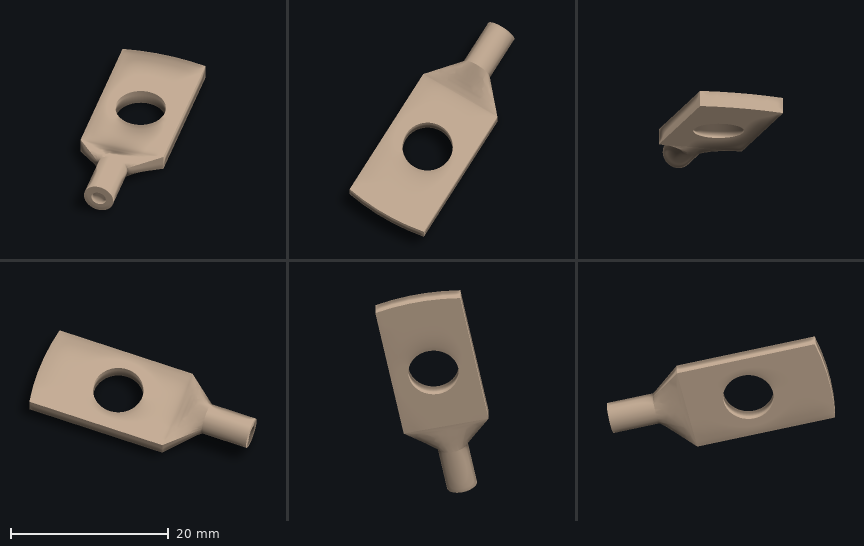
import cadquery as cq
import math

palm_width = 11.0
palm_thickness = 2.0
palm_length = 18.5
tip_radius = 30.0
stud_hole_offset = 8.0
stud_hole_diameter = 6.4

barrel_diameter = 3.9
barrel_length = 6.0
barrel_top = 4.05
bore_diameter = 1.9
bore_depth = barrel_length

neck_length = 4.0
neck_steps = 4
points_per_side = 8

half_width = palm_width / 2
barrel_radius = barrel_diameter / 2
barrel_axis_z = barrel_top - barrel_radius
palm_start_y = barrel_length + neck_length
tip_y = palm_start_y + palm_length
tip_rise = tip_radius - math.sqrt(tip_radius**2 - half_width**2)
tip_corner_y = tip_y - tip_rise
stud_hole_y = palm_start_y + stud_hole_offset

palm_perimeter = 2 * (palm_width + palm_thickness)
side_half_angle = math.pi * palm_thickness / palm_perimeter


def make_palm():
    """Flat plate with an arched tip and a stud hole."""
    plate = (
        cq.Workplane("XY")
        .moveTo(-half_width, palm_start_y)
        .lineTo(half_width, palm_start_y)
        .lineTo(half_width, tip_corner_y)
        .threePointArc((0, tip_y), (-half_width, tip_corner_y))
        .close()
        .extrude(palm_thickness)
    )
    stud_hole = (
        cq.Workplane("XY")
        .center(0, stud_hole_y)
        .circle(stud_hole_diameter / 2)
        .extrude(palm_thickness)
    )
    return plate.cut(stud_hole)


def make_barrel():
    """Solid round barrel from the wire end at Y = 0 to the neck."""
    return (
        cq.Workplane("XZ", origin=(0, 0, barrel_axis_z))
        .circle(barrel_radius)
        .extrude(-barrel_length)
    )


def make_bore():
    """Blind wire bore, open at Y = 0 and ending where the neck begins."""
    return (
        cq.Workplane("XZ", origin=(0, 0, barrel_axis_z))
        .circle(bore_diameter / 2)
        .extrude(-bore_depth)
    )


def barrel_point(angle):
    """X and Z of the point on the barrel circle at an angle from +X."""
    return barrel_radius * math.cos(angle), barrel_axis_z + barrel_radius * math.sin(angle)


def neck_sides():
    """Each neck side: start and end corner on the palm, start and end angle on the barrel, broad or not."""
    low_right = (half_width, 0)
    high_right = (half_width, palm_thickness)
    high_left = (-half_width, palm_thickness)
    low_left = (-half_width, 0)
    angle = side_half_angle
    return [
        (low_right, high_right, -angle, angle, False),
        (high_right, high_left, angle, math.pi - angle, True),
        (high_left, low_left, math.pi - angle, math.pi + angle, False),
        (low_left, low_right, math.pi + angle, 2 * math.pi - angle, True),
    ]


def neck_point(side, along, progress):
    """Point on a neck side; progress runs from 0 at the palm to 1 at the barrel.

    Broad sides leave the palm flush along their middle and run straight along their corners.
    """
    start, end, start_angle, end_angle, broad = side
    palm_x = start[0] + along * (end[0] - start[0])
    palm_z = start[1] + along * (end[1] - start[1])
    round_x, round_z = barrel_point(start_angle + along * (end_angle - start_angle))
    lift = progress
    if broad:
        flush_lift = progress**2 * (2 - progress)
        middle_weight = 4 * along * (1 - along)
        lift += middle_weight * (flush_lift - progress)
    x = palm_x + progress * (round_x - palm_x)
    y = palm_start_y - progress * neck_length
    z = palm_z + lift * (round_z - palm_z)
    return cq.Vector(x, y, z)


def neck_edge(side, step):
    """Edge of one neck side: a line at the palm, an arc at the barrel, a curve between."""
    progress = step / neck_steps
    start = neck_point(side, 0, progress)
    end = neck_point(side, 1, progress)
    if step == 0:
        return cq.Edge.makeLine(start, end)
    if step == neck_steps:
        return cq.Edge.makeThreePointArc(start, neck_point(side, 0.5, progress), end)
    points = [neck_point(side, i / points_per_side, progress) for i in range(points_per_side + 1)]
    return cq.Edge.makeSpline(points)


def make_neck():
    """Smooth loft from the palm rectangle to the barrel circle."""
    sections = []
    for step in range(neck_steps + 1):
        edges = [neck_edge(side, step) for side in neck_sides()]
        sections.append(cq.Wire.assembleEdges(edges))
    return cq.Workplane(cq.Solid.makeLoft(sections))


result = make_palm().union(make_neck()).union(make_barrel()).cut(make_bore())